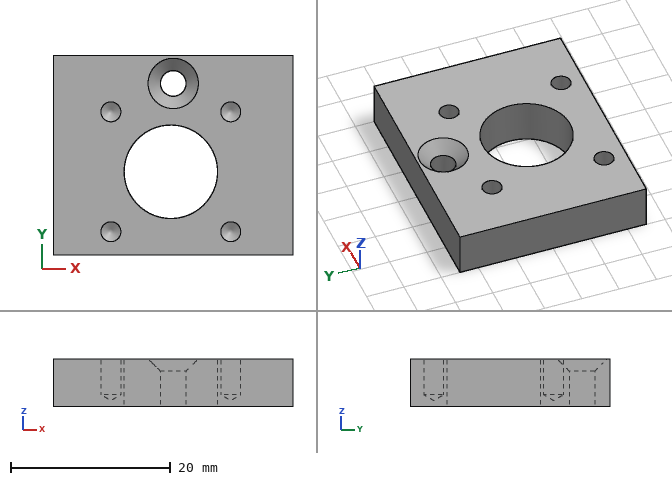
import cadquery as cq
import math

length = 30.0
width = 25.0
thickness = 6.0

bore_diameter = 11.67
bore_x = -0.3
bore_y = -2.07

blind_diameter = 2.5
blind_depth = 4.5
blind_spacing = 15.0
drill_point_angle = 118.0

screw_diameter = 3.18
sink_diameter = 6.3
sink_angle = 90.0
screw_edge_distance = 3.5
screw_x = 0.0
screw_y = width / 2 - screw_edge_distance


def on_top(body, x, y):
    """Workplane on the top face of the plate, centred at (x, y)."""
    return body.faces(">Z").workplane(origin=(x, y, thickness))


def drilled_hole(x, y):
    """Cutter for a blind hole with a drill-point bottom, opening at the top face."""
    radius = blind_diameter / 2
    point_height = radius / math.tan(math.radians(drill_point_angle / 2))
    shoulder_z = thickness - blind_depth
    half_profile = (
        cq.Workplane("XZ")
        .moveTo(0, thickness)
        .lineTo(radius, thickness)
        .lineTo(radius, shoulder_z)
        .lineTo(0, shoulder_z - point_height)
        .close()
    )
    return half_profile.revolve(360, (0, 0, 0), (0, 1, 0)).translate((x, y, 0))


plate = cq.Workplane("XY").box(length, width, thickness, centered=(True, True, False))

plate = on_top(plate, bore_x, bore_y).hole(bore_diameter)
plate = on_top(plate, screw_x, screw_y).cskHole(screw_diameter, sink_diameter, sink_angle)

for side_x in (-1, 1):
    for side_y in (-1, 1):
        hole_x = bore_x + side_x * blind_spacing / 2
        hole_y = bore_y + side_y * blind_spacing / 2
        plate = plate.cut(drilled_hole(hole_x, hole_y))

result = plate